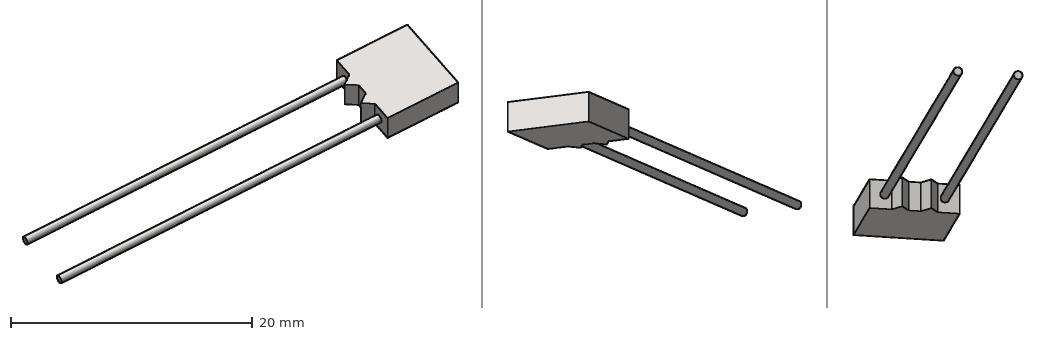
import cadquery as cq

total_length = 38.87
body_width = 7.6
body_length = 7.05
body_thickness = 2.53

tooth_pitch = 2.45
tooth_width = 1.4
tooth_height = 0.95

lead_pitch = 5.1
lead_diameter = 0.75
lead_length = total_length - body_length


def centred_pair(pitch):
    """Two X positions, placed evenly about the middle of the part."""
    return (-pitch / 2, pitch / 2)


def make_tooth(x):
    """Triangular prism through the full thickness, pointing along -Y from the lead side."""
    return (
        cq.Workplane("XY")
        .moveTo(x - tooth_width / 2, 0)
        .lineTo(x, -tooth_height)
        .lineTo(x + tooth_width / 2, 0)
        .close()
        .extrude(body_thickness / 2, both=True)
    )


def make_housing():
    """Rectangular block with its lead side at Y = 0 and two standoff teeth."""
    housing = cq.Workplane("XY").box(
        body_width, body_length, body_thickness, centered=(True, False, True)
    )
    for x in centred_pair(tooth_pitch):
        housing = housing.union(make_tooth(x))
    return housing


def make_lead(x):
    """Straight wire running along -Y, butted against the lead side of the housing."""
    return (
        cq.Workplane("XZ")
        .center(x, 0)
        .circle(lead_diameter / 2)
        .extrude(lead_length)
    )


housing = make_housing()
leads = [make_lead(x) for x in centred_pair(lead_pitch)]

result = cq.Compound.makeCompound([housing.val(), *[lead.val() for lead in leads]])